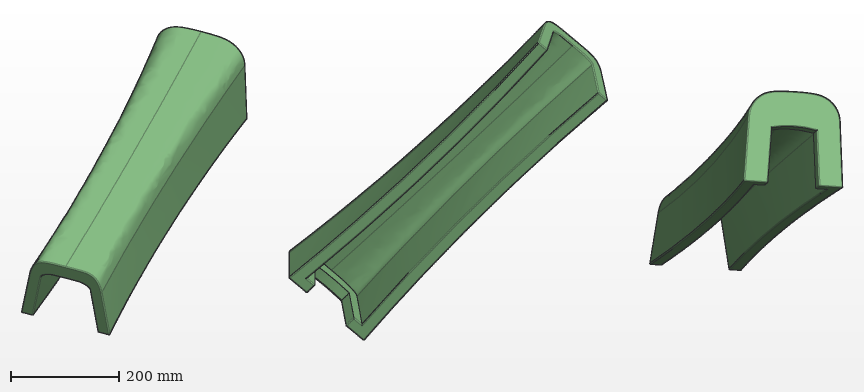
import cadquery as cq

LENGTH = 678.5
REAR_LEAN = 10.0
REAR_HEIGHT = 174.5
LEAN_SLOPE = REAR_LEAN / REAR_HEIGHT
REAR_SECTION_Y = LENGTH + REAR_LEAN

FRONT = (88.0, 72.0, 98.5, 61.0, 126.0, 138.5)
WAIST = (79.0, 68.5, 104.5, 60.0, 134.5, 147.0)
REAR = (97.0, 89.5, 124.0, 72.5, 159.5, 176.0)

BASE_WALL = 24.0
SHOULDER_WALL = 23.0
SHOULDER_DROP = 1.5
CORNER_WALL = 18.0
CORNER_DROP = 22.0
CROWN_WALL = 28.5
WALL = (BASE_WALL, SHOULDER_WALL, SHOULDER_DROP, CORNER_WALL, CORNER_DROP, CROWN_WALL)

LIP_THICKNESS = 22.5
OPENING_BASE = 49.0
OPENING_SHOULDER = 43.0
OPENING_SIDE_HEIGHT = 104.0
OPENING_CROWN = 108.5

EDGE_ROUND = 2.0
MARGIN = 68.0


def arch_wire(y, section):
    """Closed arch outline, symmetric about X = 0, in the plane at y."""
    base, shoulder, shoulder_z, corner, corner_z, crown_z = section
    right_base = cq.Vector(base, y, 0)
    right_shoulder = cq.Vector(shoulder, y, shoulder_z)
    crown = cq.Vector(0, y, crown_z)
    left_shoulder = cq.Vector(-shoulder, y, shoulder_z)
    left_base = cq.Vector(-base, y, 0)
    level = cq.Vector(-1, 0, 0)
    right_arch = cq.Edge.makeSpline(
        [right_shoulder, cq.Vector(corner, y, corner_z), crown],
        tangents=[(right_shoulder - right_base).normalized(), level],
    )
    left_arch = cq.Edge.makeSpline(
        [crown, cq.Vector(-corner, y, corner_z), left_shoulder],
        tangents=[level, (left_base - left_shoulder).normalized()],
    )
    return cq.Wire.assembleEdges([
        cq.Edge.makeLine(left_base, right_base),
        cq.Edge.makeLine(right_base, right_shoulder),
        right_arch,
        left_arch,
        cq.Edge.makeLine(left_shoulder, left_base),
    ])


def inset(section):
    """Cavity section lying one wall thickness inside an outer section."""
    return tuple(size - wall for size, wall in zip(section, WALL))


def loft_arches(front, waist, rear):
    """Smooth body through the three sections, from the front to past the rear."""
    wires = [
        arch_wire(0, front),
        arch_wire(LENGTH / 2, waist),
        arch_wire(REAR_SECTION_Y, rear),
    ]
    return cq.Workplane(obj=cq.Solid.makeLoft(wires))


def space_behind(crown_y):
    """Everything behind a leaning plane that reaches crown_y at crown height."""
    far_y = LENGTH + MARGIN
    profile = [
        (crown_y - REAR_LEAN - LEAN_SLOPE * MARGIN, -MARGIN),
        (far_y, -MARGIN),
        (far_y, REAR_HEIGHT + MARGIN),
        (crown_y + LEAN_SLOPE * MARGIN, REAR_HEIGHT + MARGIN),
    ]
    half_width = REAR[0] + MARGIN
    return cq.Workplane("YZ").polyline(profile).close().extrude(half_width, both=True)


def lip_opening():
    """Straight arched passage through the rear lip."""
    start_y = LENGTH - REAR_LEAN - LIP_THICKNESS - MARGIN
    return (
        cq.Workplane("XZ", origin=(0, start_y, 0))
        .moveTo(-OPENING_BASE, 0)
        .lineTo(OPENING_BASE, 0)
        .lineTo(OPENING_SHOULDER, OPENING_SIDE_HEIGHT)
        .threePointArc((0, OPENING_CROWN), (-OPENING_SHOULDER, OPENING_SIDE_HEIGHT))
        .close()
        .extrude(start_y - LENGTH - MARGIN)
    )


rear_crown_y = LENGTH + LEAN_SLOPE * EDGE_ROUND
outer = loft_arches(FRONT, WAIST, REAR).cut(space_behind(rear_crown_y))
cavity = loft_arches(inset(FRONT), inset(WAIST), inset(REAR))
cavity = cavity.cut(space_behind(rear_crown_y - LIP_THICKNESS))
channel = outer.cut(cavity).cut(lip_opening())

result = channel.faces("<Y or <Z or >Y").edges().fillet(EDGE_ROUND)